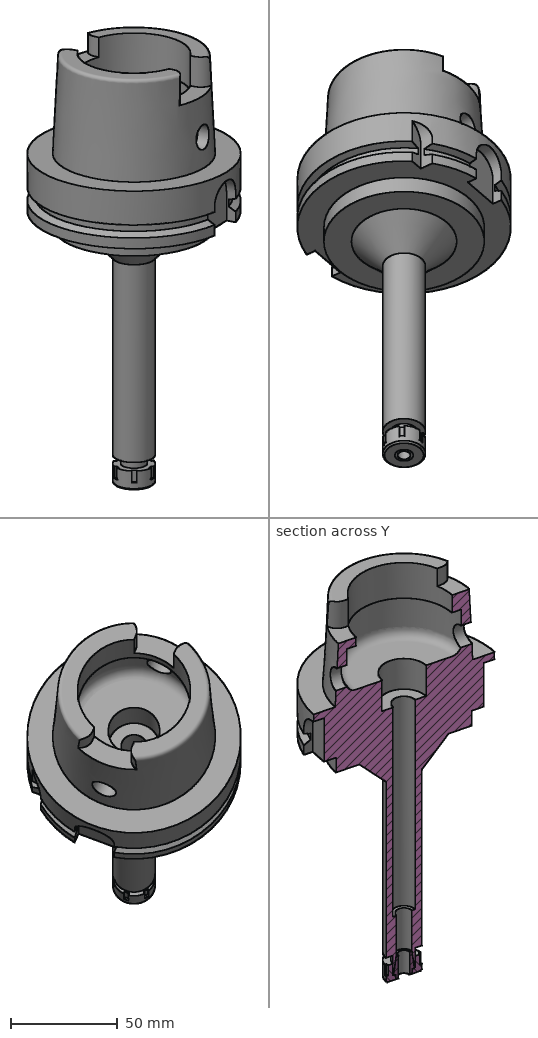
import cadquery as cq
import math

TOTAL_LENGTH = 215.0

TAPER_LENGTH = 50.0
TAPER_BASE_DIA = 76.1
TAPER_TOP_DIA = 71.2
TAPER_TOP_FILLET = 2.0

MOUTH_DIA = 52.9
MOUTH_DEPTH = 20.0
CAVITY_DIA = 63.0
CAVITY_FLOOR_Z = 5.8
CAVITY_FLOOR_FILLET = 5.0
ACCESS_HOLE_DIA = 12.0
ACCESS_HOLE_Z = 15.0

DRIVE_SLOT_WIDTH = 20.0
DRIVE_SLOT_FLARE_RADIUS = 6.5
DRIVE_SLOT_FLARE_START = 26.7
SHALLOW_SLOT_DEPTH = 9.9
DEEP_SLOT_DEPTH = 15.0

FLANGE_DIA = 100.0
FLANGE_HEIGHT = 28.8
GROOVE_DIA = 92.7
GROOVE_TOP = 17.0
GROOVE_BOTTOM = 23.5
GROOVE_UPPER_FLANK = 1.0
GROOVE_LOWER_FLANK = 2.0

NOTCH_WIDTH = 20.0
NOTCH_HEIGHT = 24.5
KEY_NOTCH_FLOOR_X = 44.0
SIDE_NOTCH_FLOOR_X = 32.2
SIDE_NOTCH_Y = 41.3

COLLAR_DIA = 75.0
COLLAR_HEIGHT = 8.4
CONE_TOP_DIA = 49.2
CONE_HEIGHT = 14.8
SHANK_DIA = 20.0
SHANK_END_Z = -151.0

COOLANT_THREAD_DIA = 24.0
COOLANT_THREAD_DEPTH = 17.2
RELIEF_DIA = 12.0
RELIEF_END_Z = -129.0

NUT_DIA = 20.0
NUT_HEIGHT = 9.7
NUT_LIP_HEIGHT = 3.0
NUT_LIP_HOLE_DIA = 8.5
NUT_CHAMFER = 0.9
NUT_SLOT_COUNT = 6
NUT_SLOT_WIDTH = 2.4
NUT_SLOT_LENGTH = 5.8
NUT_SLOT_DEPTH = 1.0

NOSE_DIA = 12.5
COLLET_BACK_DIA = 8.4
COLLET_FRONT_DIA = 11.2
COLLET_HALF_ANGLE = 8
COLLET_BORE_DIA = 6.0

NOTCH_RADIUS = NOTCH_WIDTH / 2
FLANGE_BOTTOM_Z = -FLANGE_HEIGHT
COLLAR_BOTTOM_Z = FLANGE_BOTTOM_Z - COLLAR_HEIGHT
CONE_BOTTOM_Z = COLLAR_BOTTOM_Z - CONE_HEIGHT
NUT_BOTTOM_Z = TAPER_LENGTH - TOTAL_LENGTH
NUT_TOP_Z = NUT_BOTTOM_Z + NUT_HEIGHT
NOSE_END_Z = NUT_BOTTOM_Z + NUT_LIP_HEIGHT
COLLET_CONE_LENGTH = (COLLET_FRONT_DIA - COLLET_BACK_DIA) / 2 / math.tan(math.radians(COLLET_HALF_ANGLE))
COLLET_TOP_Z = NOSE_END_Z + COLLET_CONE_LENGTH


def turned(profile):
    """Revolve a closed (diameter, z) outline about the Z axis."""
    points = [(diameter / 2, z) for diameter, z in profile]
    return cq.Workplane("XZ").polyline(points).close().revolve(360, (0, 0), (0, 1))


def bore(diameter, bottom_z, top_z):
    """Solid cylinder on the Z axis, used for cutting."""
    return cq.Workplane("XY").workplane(offset=bottom_z).circle(diameter / 2).extrude(top_z - bottom_z)


def holder_blank():
    blank = turned([
        (0, TAPER_LENGTH),
        (TAPER_TOP_DIA, TAPER_LENGTH),
        (TAPER_BASE_DIA, 0),
        (FLANGE_DIA, 0),
        (FLANGE_DIA, -GROOVE_TOP),
        (GROOVE_DIA, -GROOVE_TOP - GROOVE_UPPER_FLANK),
        (GROOVE_DIA, -GROOVE_BOTTOM + GROOVE_LOWER_FLANK),
        (FLANGE_DIA, -GROOVE_BOTTOM),
        (FLANGE_DIA, FLANGE_BOTTOM_Z),
        (COLLAR_DIA, FLANGE_BOTTOM_Z),
        (COLLAR_DIA, COLLAR_BOTTOM_Z),
        (CONE_TOP_DIA, COLLAR_BOTTOM_Z),
        (SHANK_DIA, CONE_BOTTOM_Z),
        (SHANK_DIA, SHANK_END_Z),
        (NOSE_DIA, SHANK_END_Z),
        (NOSE_DIA, NOSE_END_Z),
        (0, NOSE_END_Z),
    ])
    return blank.faces(">Z").edges().fillet(TAPER_TOP_FILLET)


def holder_cavity():
    """Clamping cavity, coolant bores and the conical collet seat."""
    mouth_bottom_z = TAPER_LENGTH - MOUTH_DEPTH
    thread_bottom_z = CAVITY_FLOOR_Z - COOLANT_THREAD_DEPTH
    chamber = bore(CAVITY_DIA, CAVITY_FLOOR_Z, mouth_bottom_z)
    chamber = chamber.faces("<Z").edges().fillet(CAVITY_FLOOR_FILLET)
    passage = turned([
        (0, CAVITY_FLOOR_Z),
        (COOLANT_THREAD_DIA, CAVITY_FLOOR_Z),
        (COOLANT_THREAD_DIA, thread_bottom_z),
        (RELIEF_DIA, thread_bottom_z),
        (RELIEF_DIA, RELIEF_END_Z),
        (COLLET_BACK_DIA, RELIEF_END_Z),
        (COLLET_BACK_DIA, COLLET_TOP_Z),
        (COLLET_FRONT_DIA, NOSE_END_Z),
        (0, NOSE_END_Z),
    ])
    return bore(MOUTH_DIA, mouth_bottom_z, TAPER_LENGTH).union(chamber).union(passage)


def drive_slot(side, depth):
    """Slot in the taper end on the +X (side = 1) or -X (side = -1) side, flared by arcs at its outer end."""
    half_width = DRIVE_SLOT_WIDTH / 2
    radius = DRIVE_SLOT_FLARE_RADIUS
    flared_half_width = half_width + radius
    arc_start = side * DRIVE_SLOT_FLARE_START
    arc_middle = side * (DRIVE_SLOT_FLARE_START + radius * math.sin(math.pi / 4))
    arc_end = side * (DRIVE_SLOT_FLARE_START + radius)
    middle_half_width = flared_half_width - radius * math.cos(math.pi / 4)
    outer_x = side * TAPER_BASE_DIA / 2
    return (
        cq.Workplane("XY").workplane(offset=TAPER_LENGTH - depth)
        .moveTo(0, -half_width)
        .lineTo(arc_start, -half_width)
        .threePointArc((arc_middle, -middle_half_width), (arc_end, -flared_half_width))
        .lineTo(outer_x, -flared_half_width)
        .lineTo(outer_x, flared_half_width)
        .lineTo(arc_end, flared_half_width)
        .threePointArc((arc_middle, middle_half_width), (arc_start, half_width))
        .lineTo(0, half_width)
        .close()
        .extrude(depth)
    )


def flange_notch(side, floor_x, center_y):
    """Round-topped notch, open at the flange bottom, outward of floor_x on the +X or -X side."""
    straight_height = NOTCH_HEIGHT - NOTCH_RADIUS
    arc_center_z = FLANGE_BOTTOM_Z + straight_height
    return (
        cq.Workplane("YZ").workplane(offset=side * floor_x)
        .moveTo(center_y - NOTCH_RADIUS, FLANGE_BOTTOM_Z)
        .lineTo(center_y - NOTCH_RADIUS, arc_center_z)
        .threePointArc((center_y, FLANGE_BOTTOM_Z + NOTCH_HEIGHT), (center_y + NOTCH_RADIUS, arc_center_z))
        .lineTo(center_y + NOTCH_RADIUS, FLANGE_BOTTOM_Z)
        .close()
        .extrude(side * FLANGE_DIA / 2)
    )


def access_hole():
    """Cross hole through both walls of the taper along X."""
    return (
        cq.Workplane("YZ").center(0, ACCESS_HOLE_Z)
        .circle(ACCESS_HOLE_DIA / 2).extrude(FLANGE_DIA / 2, both=True)
    )


def make_holder():
    body = holder_blank().cut(holder_cavity()).cut(access_hole())
    body = body.cut(drive_slot(-1, SHALLOW_SLOT_DEPTH))
    body = body.cut(drive_slot(1, DEEP_SLOT_DEPTH))
    for side in (-1, 1):
        body = body.cut(flange_notch(side, KEY_NOTCH_FLOOR_X, 0))
    return body.cut(flange_notch(-1, SIDE_NOTCH_FLOOR_X, SIDE_NOTCH_Y))


def make_nut():
    body = bore(NUT_DIA, NUT_BOTTOM_Z, NUT_TOP_Z).faces("<Z").edges().chamfer(NUT_CHAMFER)
    body = body.cut(bore(NUT_LIP_HOLE_DIA, NUT_BOTTOM_Z, NOSE_END_Z))
    body = body.cut(bore(NOSE_DIA, NOSE_END_Z, NUT_TOP_Z))
    slot = cq.Workplane("XY").box(
        2 * NUT_SLOT_DEPTH, NUT_SLOT_WIDTH, NUT_SLOT_LENGTH
    ).translate((NUT_DIA / 2, 0, NUT_TOP_Z - NUT_SLOT_LENGTH / 2))
    for index in range(NUT_SLOT_COUNT):
        body = body.cut(slot.rotate((0, 0, 0), (0, 0, 1), index * 360 / NUT_SLOT_COUNT))
    return body


def make_collet():
    """Cone seated in the nose, with a straight tip through the nut lip."""
    return turned([
        (COLLET_BORE_DIA, COLLET_TOP_Z),
        (COLLET_BACK_DIA, COLLET_TOP_Z),
        (COLLET_FRONT_DIA, NOSE_END_Z),
        (NUT_LIP_HOLE_DIA, NOSE_END_Z),
        (NUT_LIP_HOLE_DIA, NUT_BOTTOM_Z),
        (COLLET_BORE_DIA, NUT_BOTTOM_Z),
    ])


holder = make_holder()
nut = make_nut()
collet = make_collet()

result = cq.Compound.makeCompound([holder.val(), nut.val(), collet.val()])